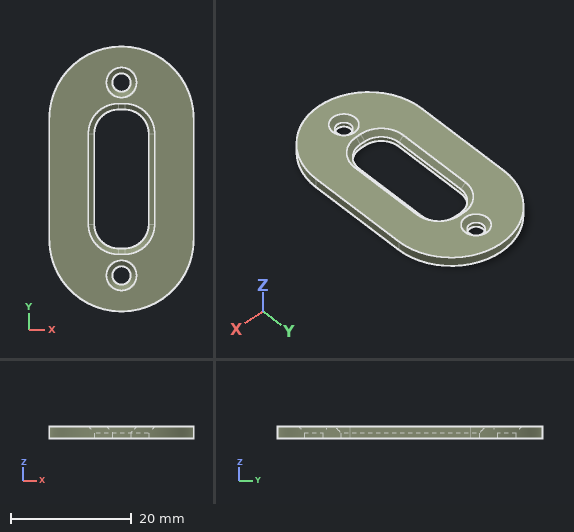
import cadquery as cq

plate_width = 24.0
plate_length = 44.0
plate_thickness = 2.0

window_width = 9.0
window_length = 23.0
window_corner_radius = 4.0
window_chamfer = 1.0

screw_hole_diameter = 3.0
countersink_diameter = 5.0
countersink_angle = 90.0
screw_spacing = 32.0


def make_plate():
    """Flat plate with its bottom face on Z = 0."""
    return cq.Workplane("XY").slot2D(plate_length, plate_width, 90).extrude(plate_thickness)


def make_window_cutter():
    """Straight-walled window through the full thickness."""
    return (
        cq.Workplane("XY")
        .rect(window_width, window_length)
        .extrude(plate_thickness)
        .edges("|Z")
        .fillet(window_corner_radius)
    )


def cut_window(plate):
    """Cut the window and chamfer its rim on the top face."""
    opened = plate.cut(make_window_cutter())
    half_width = window_width / 2
    half_length = window_length / 2
    rim_box = cq.selectors.BoxSelector(
        (-half_width, -half_length, 0),
        (half_width, half_length, 2 * plate_thickness),
        boundingbox=False,
    )
    return opened.faces(">Z").edges(rim_box).chamfer(window_chamfer)


def cut_screw_holes(plate):
    """Drill the countersunk holes from the top face."""
    return (
        plate.faces(">Z")
        .workplane(origin=(0, 0, plate_thickness))
        .pushPoints([(0, -screw_spacing / 2), (0, screw_spacing / 2)])
        .cskHole(screw_hole_diameter, countersink_diameter, countersink_angle)
    )


result = cut_screw_holes(cut_window(make_plate()))